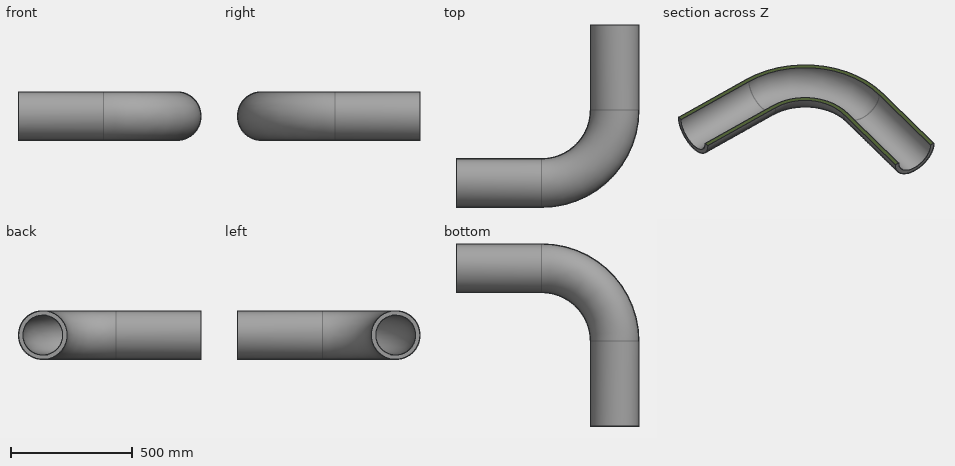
import cadquery as cq
import math

overall_length = 750.0
outer_diameter = 200.0
bore_diameter = 163.5
bend_radius = 300.0

centreline_reach = overall_length - outer_diameter / 2
leg_length = centreline_reach - bend_radius

bend_middle = (
    leg_length + bend_radius * math.sin(math.radians(45)),
    bend_radius * (1 - math.cos(math.radians(45))),
)
centreline = (
    cq.Workplane("XY")
    .lineTo(leg_length, 0)
    .threePointArc(bend_middle, (centreline_reach, bend_radius))
    .lineTo(centreline_reach, centreline_reach)
)

result = (
    cq.Workplane("YZ")
    .circle(outer_diameter / 2)
    .circle(bore_diameter / 2)
    .sweep(centreline)
)